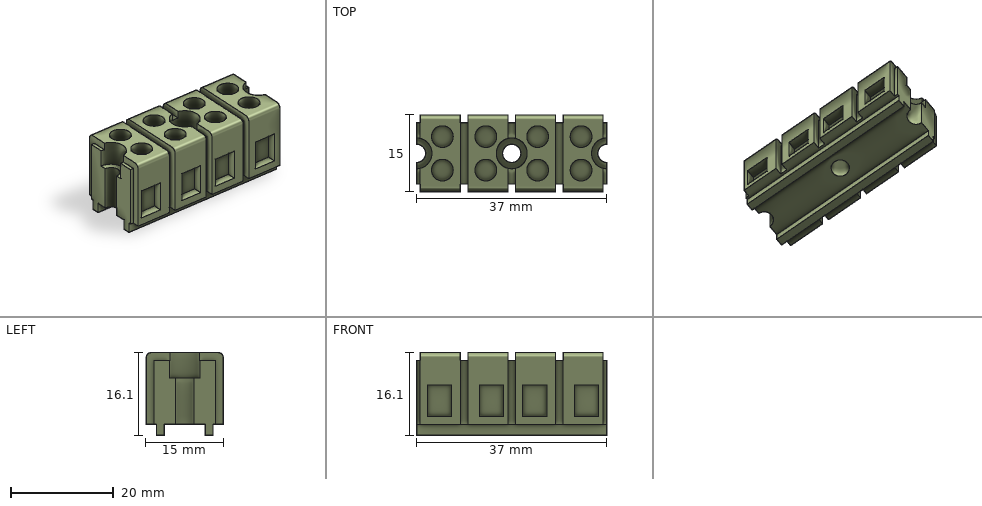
import cadquery as cq

LENGTH = 37.0
WIDTH = 15.0
HEIGHT = 16.1
POLE_COUNT = 4
PITCH = LENGTH / POLE_COUNT

RAIL_HEIGHT = 2.1
RAIL_THICKNESS = 1.6
RAIL_OUTER_SPAN = 11.05

CORE_INSET = 1.5
CORE_WIDTH = WIDTH - 2 * CORE_INSET
CORE_TOP = HEIGHT - CORE_INSET

POLE_LENGTH = 7.8
POLE_EDGE_RADIUS = 1.0

WELL_DIAMETER = 4.2
WELL_DEPTH = 2.5
WELL_ROW_SPACING = 6.5
WELL_SHIFT = 0.4

WINDOW_LENGTH = 4.7
WINDOW_HEIGHT = 6.15
WINDOW_DEPTH = 1.8
WINDOW_SILL = 1.55
WINDOW_SHIFTS = (-0.15, 0.65)

MOUNT_DIAMETER = 3.5
MOUNT_HEAD_DIAMETER = 6.0
MOUNT_HEAD_DEPTH = 5.0
MOUNT_POSITIONS = (-LENGTH / 2, 0, LENGTH / 2)

POLE_CENTRES = [(i + 0.5) * PITCH - LENGTH / 2 for i in range(POLE_COUNT)]
UPRIGHT = (True, True, False)


def make_core():
    return (
        cq.Workplane("XY", origin=(0, 0, RAIL_HEIGHT))
        .box(LENGTH, CORE_WIDTH, CORE_TOP - RAIL_HEIGHT, centered=UPRIGHT)
    )


def make_pole(x):
    return (
        cq.Workplane("XY", origin=(x, 0, RAIL_HEIGHT))
        .box(POLE_LENGTH, WIDTH, HEIGHT - RAIL_HEIGHT, centered=UPRIGHT)
        .edges("|X and >Z")
        .fillet(POLE_EDGE_RADIUS)
    )


def make_rail(side):
    y = side * (RAIL_OUTER_SPAN - RAIL_THICKNESS) / 2
    return (
        cq.Workplane("XY", origin=(0, y, 0))
        .box(LENGTH, RAIL_THICKNESS, RAIL_HEIGHT, centered=UPRIGHT)
    )


def make_well(x, side):
    return (
        cq.Workplane("XY", origin=(x, side * WELL_ROW_SPACING / 2, HEIGHT - WELL_DEPTH))
        .circle(WELL_DIAMETER / 2)
        .extrude(WELL_DEPTH)
    )


def make_window(x, side):
    y = side * (WIDTH - WINDOW_DEPTH) / 2
    return (
        cq.Workplane("XY", origin=(x, y, RAIL_HEIGHT + WINDOW_SILL))
        .box(WINDOW_LENGTH, WINDOW_DEPTH, WINDOW_HEIGHT, centered=UPRIGHT)
    )


def make_mount_hole(x):
    shank = cq.Workplane("XY", origin=(x, 0, 0)).circle(MOUNT_DIAMETER / 2).extrude(HEIGHT)
    head = (
        cq.Workplane("XY", origin=(x, 0, HEIGHT - MOUNT_HEAD_DEPTH))
        .circle(MOUNT_HEAD_DIAMETER / 2)
        .extrude(MOUNT_HEAD_DEPTH)
    )
    return shank.union(head)


result = make_core()
for side in (-1, 1):
    result = result.union(make_rail(side))
for pole_x in POLE_CENTRES:
    result = result.union(make_pole(pole_x))

for index, pole_x in enumerate(POLE_CENTRES):
    odd = index % 2
    well_x = pole_x + (-WELL_SHIFT if odd else WELL_SHIFT)
    window_x = pole_x + WINDOW_SHIFTS[odd]
    for side in (-1, 1):
        result = result.cut(make_well(well_x, side))
        result = result.cut(make_window(window_x, side))

for mount_x in MOUNT_POSITIONS:
    result = result.cut(make_mount_hole(mount_x))